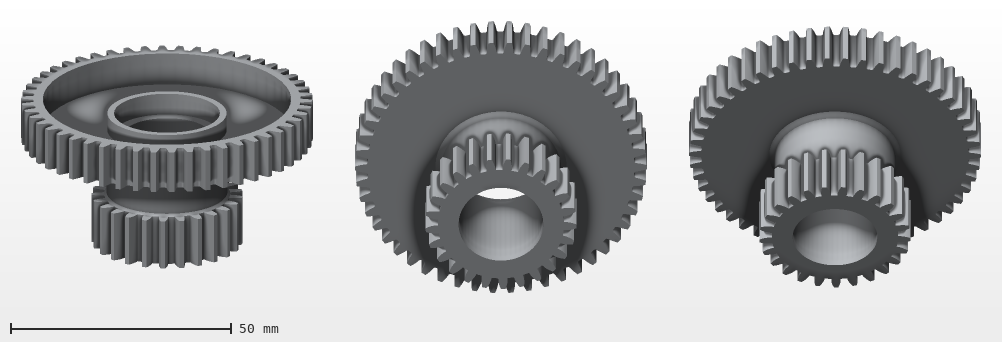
import cadquery as cq
import math

total_height = 34.5

large_tip_diameter = 66.05
large_teeth = 50
small_teeth = 25
addendums_per_diameter = 2
module = large_tip_diameter / (large_teeth + addendums_per_diameter)
small_tip_diameter = module * (small_teeth + addendums_per_diameter)
tooth_pitch_width = 1.85

large_root_diameter = 60.4
large_tooth_tip_width = 1.1
large_tooth_root_width = 2.3
large_root_fillet = 0.45
large_gear_height = 9.65
large_gear_bottom = total_height - large_gear_height
large_gear_turn = 360 / large_teeth / 2
pocket_diameter = 56.25
pocket_depth = 7.5
pocket_floor = total_height - pocket_depth

small_root_diameter = 28.6
small_tooth_tip_width = 1.0
small_tooth_root_width = 2.1
small_gear_height = 11.4
small_gear_turn = -1.4

hub_diameter = 27.4
upper_cone_height = 1.0
upper_cone_diameter = 29.8
lower_cone_height = 0.5

collar_diameter = 27.0
collar_height = 4.1
collar_top = pocket_floor + collar_height
seat_diameter = 24.0
seat_depth = 5.0
bore_diameter = 19.2


def polar(radius, angle):
    return (radius * math.cos(angle), radius * math.sin(angle))


def disc(diameter, bottom, height):
    """Cylinder on the Z axis."""
    return cq.Workplane("XY").workplane(offset=bottom).circle(diameter / 2).extrude(height)


def cone(bottom_diameter, top_diameter, bottom, height):
    """Truncated cone on the Z axis."""
    solid = cq.Solid.makeCone(bottom_diameter / 2, top_diameter / 2, height, pnt=cq.Vector(0, 0, bottom))
    return cq.Workplane(solid)


def gear(teeth, tip_diameter, root_diameter, tip_width, root_width, bottom, height, turn):
    """Spur gear with arc flanks; one tooth is centred at the angle turn, in degrees from +X."""
    tip_radius = tip_diameter / 2
    pitch_radius = module * teeth / 2
    root_radius = root_diameter / 2
    tip_half = math.asin(tip_width / 2 / tip_radius)
    pitch_half = math.asin(tooth_pitch_width / 2 / pitch_radius)
    root_half = math.asin(root_width / 2 / root_radius)
    step = 2 * math.pi / teeth

    outline = cq.Workplane("XY").workplane(offset=bottom)
    outline = outline.moveTo(*polar(root_radius, math.radians(turn) - root_half))
    for tooth in range(teeth):
        middle = math.radians(turn) + tooth * step
        gap_middle = middle + step / 2
        next_tooth = middle + step - root_half
        outline = (
            outline
            .threePointArc(polar(pitch_radius, middle - pitch_half), polar(tip_radius, middle - tip_half))
            .threePointArc(polar(tip_radius, middle), polar(tip_radius, middle + tip_half))
            .threePointArc(polar(pitch_radius, middle + pitch_half), polar(root_radius, middle + root_half))
            .threePointArc(polar(root_radius, gap_middle), polar(root_radius, next_tooth))
        )
    return outline.close().extrude(height)


def round_roots(body, root_diameter, fillet):
    """Round the upright corners where the tooth flanks meet the root circle."""
    tolerance = 0.005
    corners = []
    for edge in body.edges("|Z").vals():
        centre = edge.Center()
        distance = math.hypot(centre.x, centre.y)
        if abs(distance - root_diameter / 2) < tolerance:
            corners.append(edge)
    return body.newObject(corners).fillet(fillet)


large_gear = gear(
    large_teeth, large_tip_diameter, large_root_diameter, large_tooth_tip_width, large_tooth_root_width,
    large_gear_bottom, large_gear_height, large_gear_turn,
)
large_gear = round_roots(large_gear, large_root_diameter, large_root_fillet)
large_gear = large_gear.cut(disc(pocket_diameter, pocket_floor, pocket_depth))

small_gear = gear(
    small_teeth, small_tip_diameter, small_root_diameter, small_tooth_tip_width, small_tooth_root_width,
    0, small_gear_height, small_gear_turn,
)

hub = disc(hub_diameter, small_gear_height, large_gear_bottom - small_gear_height)
upper_cone = cone(
    hub_diameter, upper_cone_diameter, large_gear_bottom - upper_cone_height, upper_cone_height
)
lower_cone = cone(small_root_diameter, hub_diameter, small_gear_height, lower_cone_height)
hub = hub.union(upper_cone).union(lower_cone)

collar = disc(collar_diameter, pocket_floor, collar_height)

body = large_gear.union(small_gear).union(hub).union(collar)
body = body.cut(disc(seat_diameter, collar_top - seat_depth, seat_depth))
result = body.cut(disc(bore_diameter, 0, total_height))